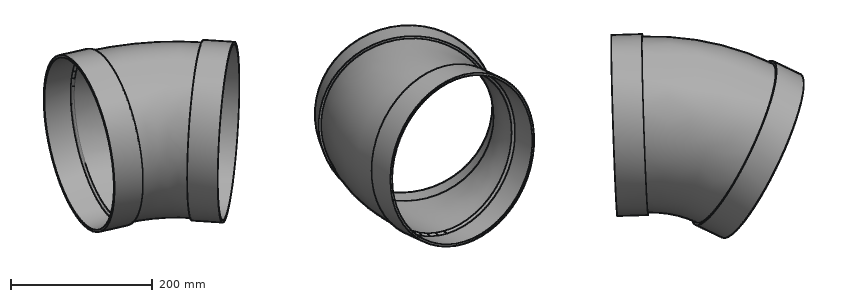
import cadquery as cq
import math

pipe_diameter = 250.0
socket_diameter = 257.0
bend_wall = 3.5
socket_length = 43.7
bend_angle = 30.0
bend_radius = pipe_diameter

bend_bore = pipe_diameter - 2 * bend_wall

angle = math.radians(bend_angle)
half_angle = angle / 2


def point_on_bend(turn):
    """Centre-line point after turning by the given angle."""
    return (bend_radius * (1 - math.cos(turn)), bend_radius * math.sin(turn))


bend_path = cq.Workplane("XY").threePointArc(point_on_bend(half_angle), point_on_bend(angle))
bend_end = (*point_on_bend(angle), 0)
end_direction = (math.sin(angle), math.cos(angle), 0)


def socket(base, direction):
    """Socket ring running from base along direction, with a rounded bead covering the bend's end face."""
    direction_x, direction_y, _ = direction
    plane = cq.Plane(origin=base, xDir=(direction_y, -direction_x, 0), normal=(0, 0, 1))
    outer_radius = socket_diameter / 2
    inner_radius = pipe_diameter / 2
    bead_offset = bend_wall * math.sqrt(0.5)
    return (
        cq.Workplane(plane)
        .moveTo(bend_bore / 2, 0)
        .lineTo(outer_radius, 0)
        .lineTo(outer_radius, socket_length)
        .lineTo(inner_radius, socket_length)
        .lineTo(inner_radius, bend_wall)
        .threePointArc((inner_radius - bead_offset, bead_offset), (bend_bore / 2, 0))
        .close()
        .revolve(360, (0, 0, 0), (0, 1, 0))
    )


def bend():
    """Curved thin-walled pipe between the two sockets."""
    return (
        cq.Workplane("XZ")
        .circle(pipe_diameter / 2)
        .circle(bend_bore / 2)
        .sweep(bend_path)
    )


result = bend().union(socket((0, 0, 0), (0, -1, 0))).union(socket(bend_end, end_direction))